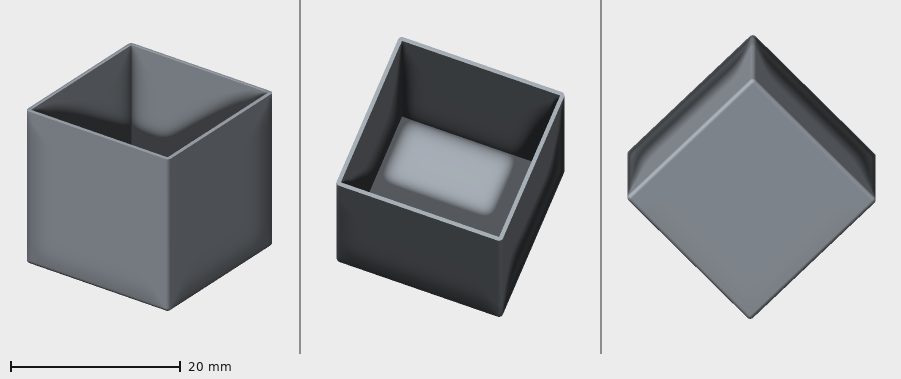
import cadquery as cq

side = 21.0
wall = 0.5
height = side - wall
edge_radius = wall
cavity_side = side - 2 * wall

body = (
    cq.Workplane("XY")
    .box(side, side, height, centered=(True, True, False))
    .edges("|Z or <Z")
    .fillet(edge_radius)
)

cavity = (
    cq.Workplane("XY")
    .workplane(offset=wall)
    .rect(cavity_side, cavity_side)
    .extrude(height - wall)
)

result = body.cut(cavity)